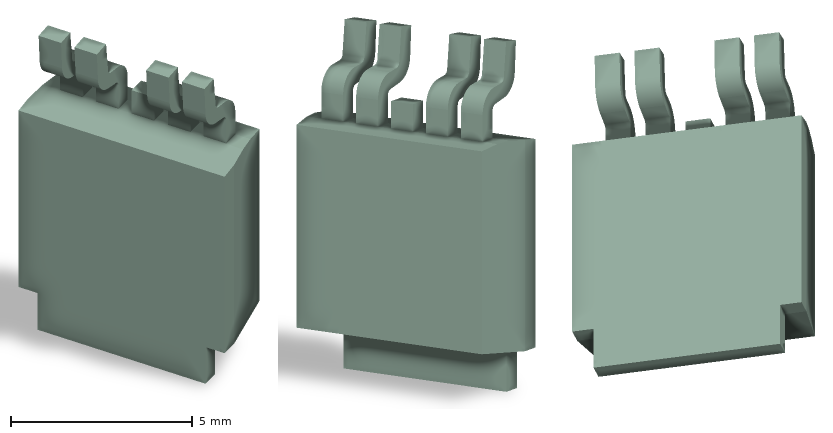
import cadquery as cq
import math

width = 6.54
depth = 2.39
height = 9.9

tab_thickness = 0.53
tab_width = 5.33
pad_width = 4.32
pad_top = 5.23

housing_bottom = 1.23
housing_bottom_back = 1.48
housing_top = 7.32
housing_top_front = 7.14
housing_top_back = 7.23
side_taper = 0.25
ledge_front = 1.19
ledge_back = 1.72

lead_width = 0.71
lead_thickness = 0.51
lead_pitch = 1.14
lead_slots = (-2, -1, 1, 2)
lead_y = ledge_back - lead_thickness / 2
lower_bend_z = 8.45
slope_angle = math.radians(9)
foot_angle = math.radians(5)
inner_radius = 0.16
outer_radius = inner_radius + lead_thickness
stub_top = 8.1


def make_tab():
    """T-shaped plate: a wide exposed foot and a narrower pad behind the housing's front face."""
    foot = cq.Workplane("XY").box(tab_width, tab_thickness, housing_bottom, centered=(True, False, False))
    pad = cq.Workplane("XY").box(pad_width, tab_thickness, pad_top, centered=(True, False, False))
    return foot.union(pad)


def make_housing(tab):
    """Block with drafted ends and sides, recessed to receive the tab."""
    side_profile = (
        cq.Workplane("YZ")
        .polyline([
            (0, housing_bottom),
            (tab_thickness, housing_bottom),
            (depth, housing_bottom_back),
            (depth, housing_top_back),
            (ledge_back, housing_top),
            (ledge_front, housing_top),
            (0, housing_top_front),
        ])
        .close()
        .extrude(width / 2, both=True)
    )
    half_width = width / 2
    back_half_width = half_width - side_taper
    plan_profile = (
        cq.Workplane("XY")
        .polyline([
            (-half_width, 0),
            (half_width, 0),
            (half_width, tab_thickness),
            (back_half_width, depth),
            (-back_half_width, depth),
            (-half_width, tab_thickness),
        ])
        .close()
        .extrude(height)
    )
    return side_profile.intersect(plan_profile).cut(tab)


def make_lead(x):
    """Strip bent forward and then up again, centred at x and standing on the housing ledge."""
    half = lead_thickness / 2
    slope = math.tan(slope_angle)
    lean = math.tan(foot_angle)

    tip_y = half * math.cos(foot_angle)
    tip_z = height - half * math.sin(foot_angle)

    upper_y = (tip_y + (tip_z - lower_bend_z - lead_y * slope) * lean) / (1 - slope * lean)
    upper_z = lower_bend_z + (lead_y - upper_y) * slope

    lower_miter = half * math.tan((math.pi / 2 - slope_angle) / 2)
    foot_turn = math.pi / 2 - slope_angle - foot_angle
    upper_miter = half * math.tan(foot_turn / 2)
    upper_dy = half * math.cos(foot_angle) + upper_miter * math.sin(foot_angle)
    upper_dz = half * math.sin(foot_angle) - upper_miter * math.cos(foot_angle)

    lead = (
        cq.Workplane("YZ")
        .polyline([
            (lead_y + half, housing_top),
            (lead_y + half, lower_bend_z + lower_miter),
            (upper_y + upper_dy, upper_z - upper_dz),
            (tip_y + half * math.cos(foot_angle), height),
            (0, tip_z - half * math.sin(foot_angle)),
            (upper_y - upper_dy, upper_z + upper_dz),
            (lead_y - half, lower_bend_z - lower_miter),
            (lead_y - half, housing_top),
        ])
        .close()
        .extrude(lead_width / 2, both=True)
    )

    def bend_edge(y, z):
        return cq.selectors.NearestToPointSelector((0, y, z))

    lead = lead.edges("|X").edges(bend_edge(lead_y + half, lower_bend_z + lower_miter)).fillet(outer_radius)
    lead = lead.edges("|X").edges(bend_edge(upper_y - upper_dy, upper_z + upper_dz)).fillet(outer_radius)
    lead = lead.edges("|X").edges(bend_edge(lead_y - half, lower_bend_z - lower_miter)).fillet(inner_radius)
    lead = lead.edges("|X").edges(bend_edge(upper_y + upper_dy, upper_z - upper_dz)).fillet(inner_radius)
    return lead.translate((x, 0, 0))


def make_stub():
    """Cropped centre lead, as deep as the housing ledge."""
    return (
        cq.Workplane("XY")
        .box(lead_width, ledge_back - ledge_front, stub_top - housing_top, centered=(True, False, False))
        .translate((0, ledge_front, housing_top))
    )


tab = make_tab()
housing = make_housing(tab)
leads = [make_lead(slot * lead_pitch) for slot in lead_slots]
stub = make_stub()

result = cq.Compound.makeCompound([
    housing.val(),
    tab.val(),
    *[lead.val() for lead in leads],
    stub.val(),
])